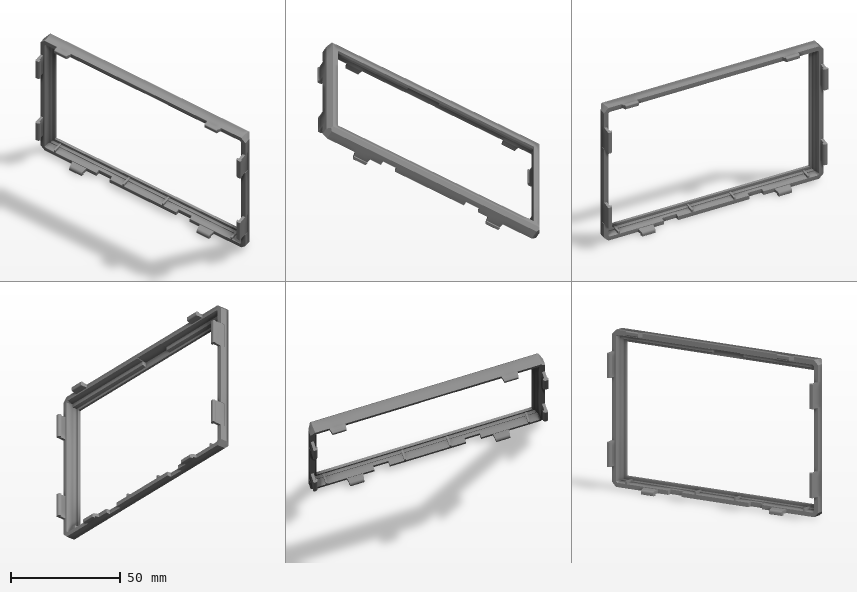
import cadquery as cq


width = 112.7
height = 73.9
depth = 6.2
half_width = width / 2
half_height = height / 2
corner_chamfer = 2.3
top_draft = 0.28
back_top_bevel = (0.7, 1.6)
back_bottom_bevel = (1.8, 1.7)
back_side_bevel = (2.9, 1.8)

wall_draft = 0.2
side_wall = 2.3
side_step = 3.2
side_opening = 4.5
top_wall = 2.4
top_wall_draft = 0.5
top_ledge = 4.6
top_opening = 6.2
bottom_wall = 2.0
bottom_step = 2.7
bottom_opening = 4.4
wall_depth = 3.2
step_depth = 4.1
bottom_wall_depth = 3.6
ledge_depth = 5.0
pocket_corner = 0.7

relief_x = 5.1
relief_width = 17.0
relief_inset = 2.1
relief_draft = 0.7

notch_x = 21.9
notch_width = 7.3
notch_depth = 2.0
notch_inset = 2.7
rib_positions = (-48.6, -10.9, 10.9, 48.6)
rib_width = 0.9
rib_inset = 3.4

clip_root = 7.8
clip_tip = 6.7
clip_root_y = 1.1
top_clip_positions = (-43.4, 39.2)
bottom_clip_positions = (-34.9, 35.2)
top_clip_reach = 3.2
bottom_clip_reach = 3.4
top_arm_lift = 0.3
clip_arm_inset = (1.7, 1.2)
clip_sink = 0.2
clip_overhang = 0.8
clip_hook = 1.5
top_clip_rounds = (0.5, 0.6)
bottom_clip_rounds = (0.2, 1.1)

side_clip_root = 11.9
side_clip_tip = 11.5
side_clip_positions = (20.7, -21.1)
side_clip_reach = 4.5
side_clip_pad = 2.1
side_clip_recess = 0.1
side_clip_thickness = 1.4
side_hook_length = 1.4
side_hook_inset = 2.3
side_hook_slope = 0.3
side_hook_rounds = (0.5, 1.1)
proud_hook_lip = 0.3


def prism_along_x(points, length, center=0.0):
    """Extrude a (Y, Z) outline along X about a centre."""
    return cq.Workplane("YZ", origin=(center - length / 2, 0, 0)).polyline(points).close().extrude(length)


def prism_along_z(points, length, center=0.0):
    """Extrude an (X, Y) outline along Z about a centre."""
    return cq.Workplane("XY", origin=(0, 0, center - length / 2)).polyline(points).close().extrude(length)


def block(x_range, y_range, z_range):
    lows, highs = zip(x_range, y_range, z_range)
    sizes = [high - low for low, high in zip(lows, highs)]
    return cq.Workplane("XY").box(*sizes, centered=False).translate(lows)


def mirrored_outline(side_points):
    """Close a +X side outline with its mirror image."""
    return side_points + [(-x, y) for x, y in reversed(side_points)]


def make_body():
    bevel_y, bevel_x = back_side_bevel
    plan = mirrored_outline(
        [(half_width, 0), (half_width, depth - bevel_y), (half_width - bevel_x, depth)]
    )
    top_y, top_z = back_top_bevel
    bottom_y, bottom_z = back_bottom_bevel
    section = [
        (0, half_height),
        (depth - top_y, half_height - top_draft),
        (depth, half_height - top_z),
        (depth, -half_height + bottom_z),
        (depth - bottom_y, -half_height),
        (0, -half_height),
    ]
    corners = (
        cq.Workplane("XY").box(width, depth, height).translate((0, depth / 2, 0))
        .edges("|Y").chamfer(corner_chamfer)
    )
    return prism_along_z(plan, height).intersect(prism_along_x(section, width)).intersect(corners)


def make_inside():
    plan = mirrored_outline([
        (half_width - side_wall, 0),
        (half_width - side_wall - wall_draft, wall_depth),
        (half_width - side_step, step_depth),
        (half_width - side_step - wall_draft, ledge_depth),
        (half_width - side_opening, ledge_depth),
        (half_width - side_opening, depth),
    ])
    section = [
        (0, half_height - top_wall),
        (wall_depth, half_height - top_wall - top_wall_draft),
        (wall_depth, half_height - top_ledge),
        (ledge_depth, half_height - top_ledge - top_wall_draft),
        (ledge_depth, half_height - top_opening),
        (depth, half_height - top_opening),
        (depth, -half_height + bottom_opening),
        (ledge_depth, -half_height + bottom_opening),
        (ledge_depth, -half_height + bottom_step + wall_draft),
        (bottom_wall_depth, -half_height + bottom_step),
        (bottom_wall_depth, -half_height + bottom_wall + wall_draft),
        (0, -half_height + bottom_wall),
    ]
    corners = (
        block(
            (-half_width + side_wall, half_width - side_wall),
            (0, depth),
            (-half_height + bottom_wall, half_height - top_wall),
        )
        .edges("|Y").chamfer(pocket_corner)
    )
    return prism_along_z(plan, height).intersect(prism_along_x(section, width)).intersect(corners)


def make_relief():
    section = [
        (0, half_height - relief_inset),
        (ledge_depth, half_height - relief_inset - relief_draft),
        (ledge_depth, half_height - top_opening),
        (0, half_height - top_opening),
    ]
    return prism_along_x(section, relief_width, relief_x)


def make_notch(x):
    return block(
        (x - notch_width / 2, x + notch_width / 2),
        (0, notch_depth),
        (-half_height, -half_height + notch_inset),
    )


def make_rib(x):
    return block(
        (x - rib_width / 2, x + rib_width / 2),
        (0, ledge_depth),
        (-half_height + bottom_wall / 2, -half_height + rib_inset),
    )


def tapered_outline(center, root, tip, root_y, reach):
    """Outline that is straight inside the frame and narrows from the rim to the clip end."""
    return [
        (center - root / 2, root_y),
        (center - root / 2, 0),
        (center - tip / 2, -reach),
        (center + tip / 2, -reach),
        (center + root / 2, 0),
        (center + root / 2, root_y),
    ]


def round_end(clip, outward, inward, rounds):
    """Round the two long edges of the end face; directions are selectors such as ">Z"."""
    outer_round, inner_round = rounds
    clip = clip.faces("<Y").edges(inward).fillet(inner_round)
    return clip.faces("<Y").edges(outward).fillet(outer_round)


def trim_to_taper(clip, x, reach):
    """Trim a top or bottom clip to its tapered width."""
    taper = tapered_outline(x, clip_root, clip_tip, clip_root_y, reach)
    return clip.intersect(prism_along_z(taper, height + 2 * clip_overhang))


def make_top_clip(x):
    crest = half_height + clip_overhang
    arm_top = half_height + top_arm_lift
    root_inset, end_inset = clip_arm_inset
    arm_root = half_height - root_inset
    arm_end = half_height - end_inset
    section = [
        (clip_root_y, half_height - clip_sink),
        (0, half_height),
        (-top_clip_reach + clip_hook, arm_top),
        (-top_clip_reach + clip_hook, crest),
        (-top_clip_reach, crest),
        (-top_clip_reach, arm_end),
        (0, arm_root),
        (clip_root_y, arm_root),
    ]
    clip = prism_along_x(section, clip_root, x)
    clip = round_end(clip, ">Z", "<Z", top_clip_rounds)
    return trim_to_taper(clip, x, top_clip_reach)


def make_bottom_clip(x):
    crest = -half_height - clip_overhang
    root_inset, end_inset = clip_arm_inset
    arm_root = -half_height + root_inset
    arm_end = -half_height + end_inset
    section = [
        (clip_root_y, arm_root),
        (0, arm_root),
        (-bottom_clip_reach, arm_end),
        (-bottom_clip_reach, crest),
        (-bottom_clip_reach + clip_hook, crest),
        (-bottom_clip_reach + clip_hook, -half_height),
        (clip_root_y, -half_height),
    ]
    clip = prism_along_x(section, clip_root, x)
    clip = round_end(clip, "<Z", ">Z", bottom_clip_rounds)
    return trim_to_taper(clip, x, bottom_clip_reach)


def make_side_clip(z, lip):
    """Clip on the +X side; its hook turns inward and its lip outward."""
    outer = half_width - side_clip_recess
    inner = outer - side_clip_thickness
    hook_y = -side_clip_reach + side_hook_length
    plan = [
        (outer, side_clip_pad),
        (outer, hook_y),
        (half_width + lip, hook_y - side_hook_slope),
        (half_width + lip, -side_clip_reach),
        (half_width - side_hook_inset, -side_clip_reach),
        (half_width - side_hook_inset, hook_y),
        (inner, hook_y),
        (inner, side_clip_pad),
    ]
    taper = [
        (y, across)
        for across, y in tapered_outline(z, side_clip_root, side_clip_tip, side_clip_pad, side_clip_reach)
    ]
    clip = prism_along_z(plan, side_clip_root, z)
    clip = round_end(clip, ">X", "<X", side_hook_rounds)
    return clip.intersect(prism_along_x(taper, width + 2 * proud_hook_lip))


def make_pad_recess(z):
    return block(
        (half_width - side_clip_recess, half_width),
        (0, side_clip_pad),
        (z - side_clip_root / 2, z + side_clip_root / 2),
    )


result = make_body().cut(make_inside()).cut(make_relief())

for notch_side in (-1, 1):
    result = result.cut(make_notch(notch_side * notch_x))
for rib_x in rib_positions:
    result = result.union(make_rib(rib_x))

for clip_z in side_clip_positions:
    recess = make_pad_recess(clip_z)
    right_lip = proud_hook_lip if clip_z > 0 else 0
    result = result.cut(recess).cut(recess.mirror("YZ"))
    result = result.union(make_side_clip(clip_z, right_lip))
    result = result.union(make_side_clip(clip_z, 0).mirror("YZ"))

for clip_x in top_clip_positions:
    result = result.union(make_top_clip(clip_x))
for clip_x in bottom_clip_positions:
    result = result.union(make_bottom_clip(clip_x))